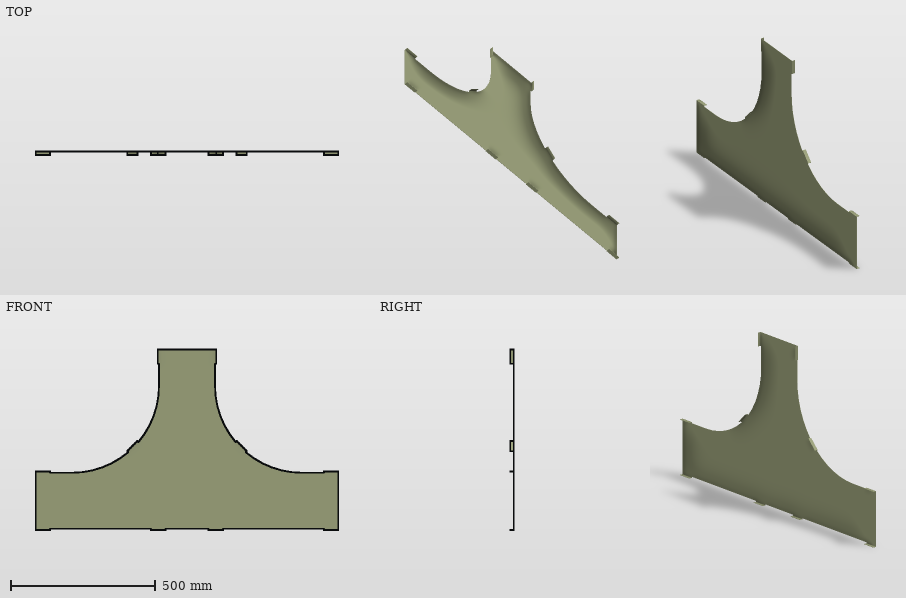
import cadquery as cq
import math

length = 1050.0
height = 627.0
depth = 13.0
sheet = 1.0
plate_width = 195.0
tab_length = 50.0
tab_offset = 4.0
corner_radius = 300.0
corner_tab_offset = 6.0
lower_tab_x = 100.0

half_length = length / 2
half_width = plate_width / 2
run_bottom = tab_offset
run_top = run_bottom + plate_width
arc_x = half_width + corner_radius
arc_z = run_top + corner_radius
arc_reach = corner_radius * math.sqrt(0.5)
arc_mid_x = arc_x - arc_reach
arc_mid_z = arc_z - arc_reach


def front_box(x_size, y_size, z_size):
    """Box centred on X = Z = 0 whose back face lies on Y = 0."""
    return cq.Workplane("XY").box(x_size, y_size, z_size).translate((0, -y_size / 2, 0))


def make_plate():
    """Flat T-shaped sheet, its back face on Y = 0 and its front on Y = -sheet."""
    return (
        cq.Workplane("XZ")
        .moveTo(-half_length, run_bottom)
        .lineTo(half_length, run_bottom)
        .lineTo(half_length, run_top)
        .lineTo(arc_x, run_top)
        .threePointArc((arc_mid_x, arc_mid_z), (half_width, arc_z))
        .lineTo(half_width, height)
        .lineTo(-half_width, height)
        .lineTo(-half_width, arc_z)
        .threePointArc((-arc_mid_x, arc_mid_z), (-arc_x, run_top))
        .lineTo(-half_length, run_top)
        .close()
        .extrude(sheet)
    )


def make_tab(edge_x, edge_z, outward_angle, offset):
    """Tab bent forward off an edge, centred on the given edge point.

    The angle turns the outward direction about Y, from +Z (0) toward +X (90).
    """
    root_height = 2 * offset
    root = front_box(tab_length, sheet, root_height)
    flange = front_box(tab_length, depth, sheet).translate((0, 0, offset - sheet / 2))
    return (
        root.union(flange)
        .rotate((0, 0, 0), (0, 1, 0), outward_angle)
        .translate((edge_x, 0, edge_z))
    )


end_tab_x = half_length - tab_length / 2
branch_tab_z = height - tab_length / 2

result = make_plate()
for side in (-1, 1):
    tabs = (
        make_tab(side * end_tab_x, run_bottom, 180, tab_offset),
        make_tab(side * lower_tab_x, run_bottom, 180, tab_offset),
        make_tab(side * end_tab_x, run_top, 0, tab_offset),
        make_tab(side * half_width, branch_tab_z, side * 90, tab_offset),
        make_tab(side * arc_mid_x, arc_mid_z, side * 45, corner_tab_offset),
    )
    for tab in tabs:
        result = result.union(tab)